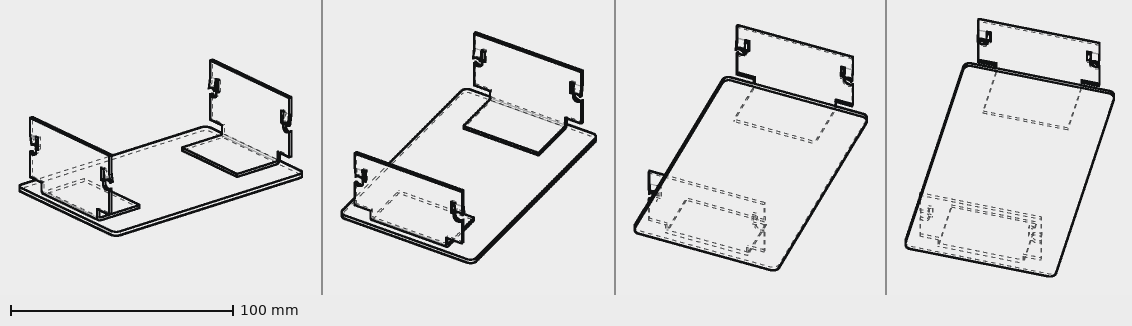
import cadquery as cq
import math

plate_width = 70.0
plate_length = 110.0
plate_thickness = 2.0
plate_corner_radius = 3.0

total_height = 37.0
sheet = 1.4
bend_inner_radius = 0.7
bend_outer_radius = bend_inner_radius + sheet
edge_setback = 2.0
wall_width = 56.1
foot_width = 39.4
foot_length = 24.8
wall_shoulder_z = 8.0

hinge_z = 29.0
tab_width = 3.8
tab_angle = 9.0
slot_width = 1.9
slot_bottom_z = 23.2
notch_radius = 2.4
notch_inset = 1.9
notch_z = 22.0

wall_outer_y = -plate_length / 2 + edge_setback
wall_inner_y = wall_outer_y + sheet
side_edge_x = wall_width / 2


def make_plate():
    blank = cq.Workplane("XY").box(plate_width, plate_length, plate_thickness, centered=(True, True, False))
    return blank.edges("|Z").fillet(plate_corner_radius)


def wall_block(x_min, x_max, z_min, z_max):
    """Rectangular piece of the flat wall sheet."""
    return cq.Workplane("XY").box(x_max - x_min, sheet, z_max - z_min, centered=False).translate(
        (x_min, wall_outer_y, z_min)
    )


def notch_cylinder(side):
    """Round cutter through the wall sheet; side is -1 or +1 along X."""
    centre = cq.Vector(side * (side_edge_x - notch_inset), wall_outer_y, notch_z)
    return cq.Workplane(cq.Solid.makeCylinder(notch_radius, sheet, centre, cq.Vector(0, 1, 0)))


def tab_span(side, width):
    """X range of a strip of the given width at one side edge of the wall."""
    return sorted((side * side_edge_x, side * (side_edge_x - width)))


def make_tab(side):
    """Tab cut from the flat sheet and bent inward about the wall's inner face."""
    x_min, x_max = tab_span(side, tab_width)
    flat = wall_block(x_min, x_max, notch_z, hinge_z).cut(notch_cylinder(side))
    flap = flat.solids(">Z").rotate((0, wall_inner_y, hinge_z), (1, wall_inner_y, hinge_z), tab_angle)

    def bend_point(angle):
        turn = math.radians(angle)
        return (wall_inner_y - sheet * math.cos(turn), hinge_z - sheet * math.sin(turn))

    bend = (
        cq.Workplane("YZ", origin=(x_min, 0, 0))
        .moveTo(wall_inner_y, hinge_z)
        .lineTo(*bend_point(0))
        .threePointArc(bend_point(tab_angle / 2), bend_point(tab_angle))
        .close()
        .extrude(tab_width)
    )
    return flap.union(bend)


def make_bracket():
    """L-shaped sheet bracket at the -Y end of the plate."""
    foot_tip_y = wall_outer_y + foot_length
    strip = (
        cq.Workplane("YZ", origin=(-foot_width / 2, 0, 0))
        .moveTo(foot_tip_y, plate_thickness)
        .lineTo(wall_outer_y + bend_outer_radius, plate_thickness)
        .radiusArc((wall_outer_y, plate_thickness + bend_outer_radius), bend_outer_radius)
        .lineTo(wall_outer_y, total_height)
        .lineTo(wall_inner_y, total_height)
        .lineTo(wall_inner_y, plate_thickness + bend_outer_radius)
        .radiusArc((wall_outer_y + bend_outer_radius, plate_thickness + sheet), -bend_inner_radius)
        .lineTo(foot_tip_y, plate_thickness + sheet)
        .close()
        .extrude(foot_width)
    )
    bracket = strip.union(wall_block(-side_edge_x, side_edge_x, wall_shoulder_z, total_height))
    for side in (-1, 1):
        opening = wall_block(*tab_span(side, tab_width + slot_width), slot_bottom_z, hinge_z)
        bracket = bracket.cut(opening).cut(notch_cylinder(side)).union(make_tab(side))
    return bracket


plate = make_plate()
brackets = [make_bracket().rotate((0, 0, 0), (0, 0, 1), turn) for turn in (0, 180)]

result = cq.Compound.makeCompound([plate.val(), *[bracket.val() for bracket in brackets]])